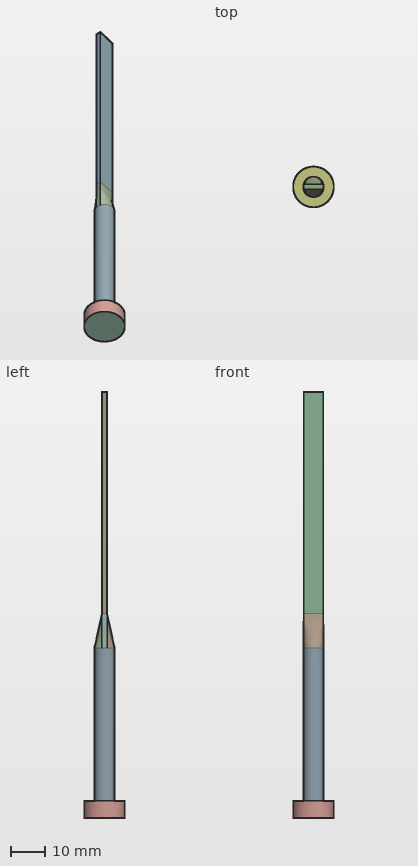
import cadquery as cq
import math

total_height = 125.0
head_height = 5.0
shaft_top = 50.0
blade_bottom = 60.0

head_diameter = 12.0
shaft_diameter = 6.0
shaft_radius = shaft_diameter / 2

blade_thickness = 1.5
half_thickness = blade_thickness / 2
half_width = math.sqrt(shaft_radius**2 - half_thickness**2)
blade_width = 2 * half_width


def cylinder(diameter, bottom, top):
    """Upright cylinder centred on the Z axis."""
    return cq.Workplane("XY").workplane(offset=bottom).circle(diameter / 2).extrude(top - bottom)


def transition():
    """Ruled loft from the round shaft to the flat blade."""
    round_end = (
        cq.Workplane("XY")
        .workplane(offset=shaft_top)
        .moveTo(-half_width, -half_thickness)
        .threePointArc((0, -shaft_radius), (half_width, -half_thickness))
        .threePointArc((shaft_radius, 0), (half_width, half_thickness))
        .threePointArc((0, shaft_radius), (-half_width, half_thickness))
        .threePointArc((-shaft_radius, 0), (-half_width, -half_thickness))
        .close()
    )
    return (
        round_end.workplane(offset=blade_bottom - shaft_top, origin=(0, 0, shaft_top))
        .moveTo(-half_width, -half_thickness)
        .lineTo(half_width, -half_thickness)
        .lineTo(half_width, half_thickness)
        .lineTo(-half_width, half_thickness)
        .close()
        .loft(ruled=True)
    )


head = cylinder(head_diameter, 0, head_height)
shaft = cylinder(shaft_diameter, head_height, shaft_top)
blade = (
    cq.Workplane("XY")
    .workplane(offset=blade_bottom)
    .rect(blade_width, blade_thickness)
    .extrude(total_height - blade_bottom)
)

result = head.union(shaft).union(transition()).union(blade)